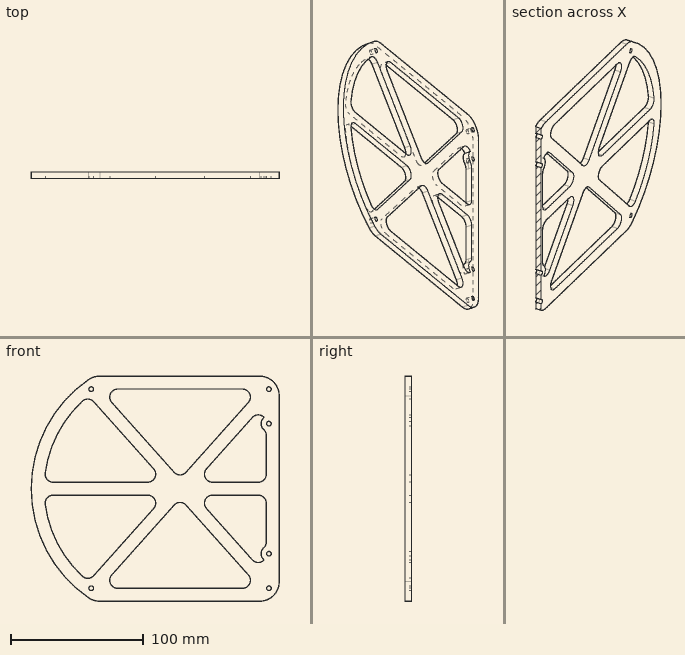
import cadquery as cq
import math

length = 187.3
height = 170.0
thickness = 5.0
right_edge = 75.0
left_edge = right_edge - length
bow_radius = 100.0
bow_center_x = left_edge + bow_radius
outer_corner_radius = 15.0

bar_width = 10.0
pocket_corner_radius = 6.0

hole_diameter = 3.4
corner_hole_x = 67.0
corner_hole_z = 75.1
side_hole_z = 49.0
boss_radius = 6.0
boss_blend_radius = 6.0


def through_plate(sketch):
    """Extrude an XZ outline over the full plate thickness."""
    return sketch.extrude(thickness / 2, both=True)


def round_slug(x, z, radius):
    """Cylinder as tall as the plate is thick."""
    return through_plate(cq.Workplane("XZ").center(x, z).circle(radius))


def bowed_outline(inset):
    """Rectangle with a circular bow as its left side, all sides moved in by inset."""
    right = right_edge - inset
    half_height = height / 2 - inset
    radius = bow_radius - inset
    bow_end_x = bow_center_x - math.sqrt(radius**2 - half_height**2)
    sketch = (
        cq.Workplane("XZ")
        .moveTo(right, -half_height)
        .lineTo(right, half_height)
        .lineTo(bow_end_x, half_height)
        .threePointArc((bow_center_x - radius, 0), (bow_end_x, -half_height))
        .close()
    )
    return through_plate(sketch)


def arm(angle):
    """Bar through the hub, turned by angle from the X axis."""
    bar = cq.Workplane("XY").box(2 * length, thickness, bar_width)
    return bar.rotate((0, 0, 0), (0, 1, 0), -angle)


def make_pockets():
    """Openings left between the rim and the arms; the diagonal arms aim at the corner holes."""
    diagonal_angle = math.degrees(math.atan2(corner_hole_z, corner_hole_x))
    pockets = bowed_outline(bar_width)
    for angle in (0, diagonal_angle, -diagonal_angle):
        pockets = pockets.cut(arm(angle))
    return pockets.edges("|Y").fillet(pocket_corner_radius)


def make_boss(side):
    """Round pad around a side hole, blended into the wall towards mid-height."""
    hole_z = side * side_hole_z
    blend_x = right_edge - bar_width - boss_blend_radius
    center_distance = boss_radius + boss_blend_radius
    blend_drop = math.sqrt(center_distance**2 - (corner_hole_x - blend_x) ** 2)
    blend_z = side * (side_hole_z - blend_drop)

    web_corners = [(corner_hole_x, hole_z), (blend_x, blend_z), (corner_hole_x, blend_z)]
    web = through_plate(cq.Workplane("XZ").polyline(web_corners).close())
    web = web.cut(round_slug(blend_x, blend_z, boss_blend_radius))
    return round_slug(corner_hole_x, hole_z, boss_radius).union(web)


def make_holes():
    """Two holes on the left, four on the right."""
    centers = []
    for side in (1, -1):
        centers.append((-corner_hole_x, side * corner_hole_z))
        centers.append((corner_hole_x, side * corner_hole_z))
        centers.append((corner_hole_x, side * side_hole_z))
    return through_plate(cq.Workplane("XZ").pushPoints(centers).circle(hole_diameter / 2))


plate = bowed_outline(0).edges("|Y").fillet(outer_corner_radius)
plate = plate.cut(make_pockets())
for side in (1, -1):
    plate = plate.union(make_boss(side))
result = plate.cut(make_holes())